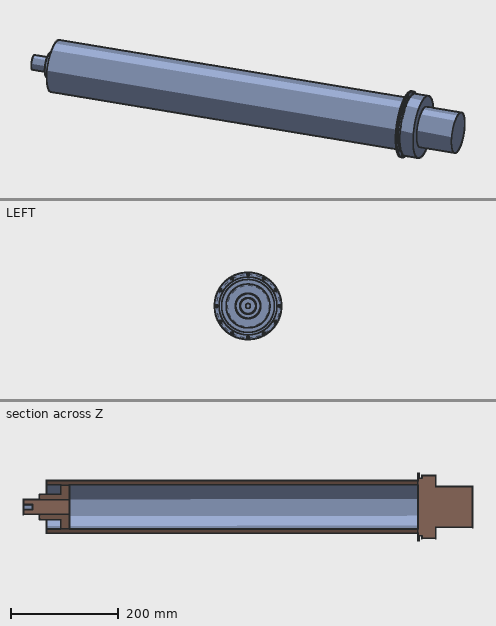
import cadquery as cq

TOTAL_LENGTH = 834.0
SHAFT_TIP_X = -TOTAL_LENGTH / 2
STUB_END_X = TOTAL_LENGTH / 2
BOSS_FACE_X = -388.0
TUBE_START_X = -374.5
CAP_FLOOR_X = -348.0
TUBE_END_X = 315.0
COLLAR_START_X = 323.0
COLLAR_END_X = 348.5

SHAFT_DIAMETER = 28.0
CENTRE_HOLE_DIAMETER = 9.0
CENTRE_HOLE_DEPTH = 17.0

BOSS_DIAMETER = 47.5
BOSS_FACE_DIAMETER = 45.0
BOSS_CHAMFER = (BOSS_DIAMETER - BOSS_FACE_DIAMETER) / 2
CAP_THICKNESS = 17.0
CAP_END_X = CAP_FLOOR_X + CAP_THICKNESS

TUBE_OUTER_DIAMETER = 98.0
TUBE_BORE_DIAMETER = 82.0

NECK_DIAMETER = 107.5
COLLAR_DIAMETER = 117.5
STUB_DIAMETER = 77.0

RING_DIAMETER = 125.0
RING_THICKNESS = 2.5
RING_HOLE_DIAMETER = 4.4
RING_HOLE_COUNT = 12
RING_HOLE_CIRCLE_DIAMETER = 117.0


def cylinder(diameter, start, end):
    """Round bar along X between two stations."""
    return cq.Workplane("YZ").workplane(offset=start).circle(diameter / 2).extrude(end - start)


def make_shaft():
    """Shaft through the end cap, with a blind centre hole in its tip."""
    shaft = cylinder(SHAFT_DIAMETER, SHAFT_TIP_X, CAP_END_X)
    centre_hole = cylinder(CENTRE_HOLE_DIAMETER, SHAFT_TIP_X, SHAFT_TIP_X + CENTRE_HOLE_DEPTH)
    return shaft.cut(centre_hole)


def make_end_cap():
    """Disc that closes the tube, with a bored boss chamfered on both edges of its face."""
    disc = cylinder(TUBE_BORE_DIAMETER, CAP_FLOOR_X, CAP_END_X)
    boss = cylinder(BOSS_DIAMETER, BOSS_FACE_X, CAP_FLOOR_X)
    bore = cylinder(SHAFT_DIAMETER, BOSS_FACE_X, CAP_END_X)
    return disc.union(boss).cut(bore).faces("<X").chamfer(BOSS_CHAMFER)


def make_tube():
    """Plain tube, open at both ends."""
    outside = cylinder(TUBE_OUTER_DIAMETER, TUBE_START_X, TUBE_END_X)
    return outside.cut(cylinder(TUBE_BORE_DIAMETER, TUBE_START_X, TUBE_END_X))


def make_hub():
    """Neck against the tube end, then the collar and the stub."""
    neck = cylinder(NECK_DIAMETER, TUBE_END_X, COLLAR_START_X)
    collar = cylinder(COLLAR_DIAMETER, COLLAR_START_X, COLLAR_END_X)
    stub = cylinder(STUB_DIAMETER, COLLAR_END_X, STUB_END_X)
    return neck.union(collar).union(stub)


def make_ring():
    """Thin ring on the neck, flush with the neck's face, with holes through it."""
    ring_end_x = TUBE_END_X + RING_THICKNESS
    outside = cylinder(RING_DIAMETER, TUBE_END_X, ring_end_x)
    ring = outside.cut(cylinder(NECK_DIAMETER, TUBE_END_X, ring_end_x))
    holes = (
        cq.Workplane("YZ")
        .workplane(offset=TUBE_END_X)
        .polarArray(RING_HOLE_CIRCLE_DIAMETER / 2, 0, 360, RING_HOLE_COUNT)
        .circle(RING_HOLE_DIAMETER / 2)
        .extrude(RING_THICKNESS)
    )
    return ring.cut(holes)


shaft = make_shaft()
end_cap = make_end_cap()
tube = make_tube()
hub = make_hub()
ring = make_ring()

result = cq.Compound.makeCompound([shaft.val(), end_cap.val(), tube.val(), hub.val(), ring.val()])